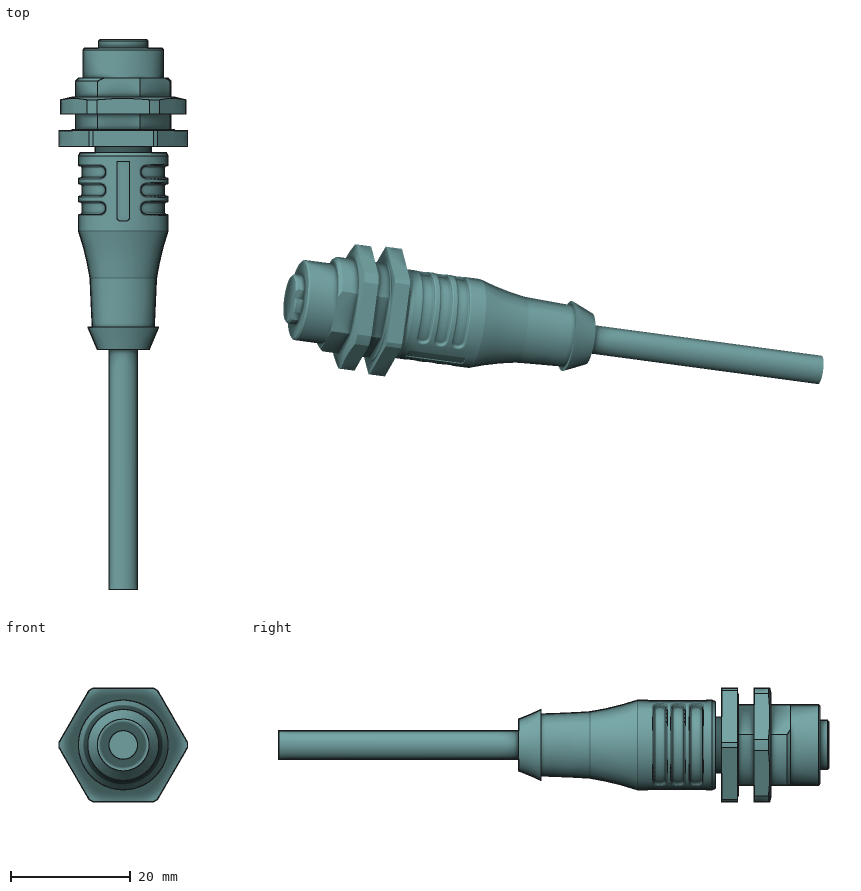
import cadquery as cq
import math

LENGTH = 92.0

INSERT_DIAMETER = 8.3
INSERT_FLAT_DISTANCE = 3.17
KEY_WIDTH = 2.2
EDGE_CHAMFER = 0.3

COLLAR_START = 1.5
COLLAR_DIAMETER = 13.5
BODY_START = 6.4
BODY_DIAMETER = 16.0
BODY_CHAMFER = 0.55
BODY_FLAT_DISTANCE = COLLAR_DIAMETER / 2
BODY_FLAT_ANGLES = (45, 90, 225, 270)
KEY_ANGLE = 225

ACROSS_FLATS = 19.0
LOCK_NUT_START = 9.7
LOCK_NUT_END = 12.5
LOCK_NUT_CORNER_DIAMETER = 21.0
NUT_CONE_HEIGHT = 0.5
NUT_FACE_DIAMETER = 17.1
BODY_NUT_START = 15.3
BODY_NUT_END = 17.9
BODY_NUT_CORNER_DIAMETER = 21.5
WASHER_FACE_HEIGHT = 0.2

NECK_DIAMETER = 9.4
GRIP_START = 18.95
GRIP_END = 32.0
GRIP_DIAMETER = 15.0
GRIP_CHAMFER_LENGTH = 0.55

TAPER_END = 39.9
TAPER_MID_DIAMETER = 12.7
TAPER_DIAMETER = 11.1
FLANGE_START = 48.1
WAIST_DIAMETER = 10.4
FLANGE_DIAMETER = 11.9
FLANGE_END = 51.9
FLANGE_END_DIAMETER = 8.65
CABLE_DIAMETER = 4.8

GROOVE_COUNT = 3
GROOVE_FIRST = 22.2
GROOVE_PITCH = 3.0
GROOVE_WIDTH = 2.0
GROOVE_DEPTH = 0.55
GROOVE_INNER_END = 2.9
GROOVE_EDGE_RADIUS = 0.23
GROOVE_END_RADIUS = 0.9
MARKER_START = 20.4
MARKER_END = 30.4
MARKER_WIDTH = 2.1
MARKER_FLOOR = 7.3
MARKER_CORNER_RADIUS = 0.55


def disc(diameter, start, end):
    """Cylinder on the connector axis between two stations."""
    return cq.Workplane("XZ", origin=(0, -start, 0)).circle(diameter / 2).extrude(end - start)


def hexagon(start, end, corner_diameter):
    """Hexagon with its corners on X, rounded off by a cylinder."""
    across_corners = ACROSS_FLATS / math.cos(math.radians(30))
    prism = cq.Workplane("XZ", origin=(0, -start, 0)).polygon(6, across_corners).extrude(end - start)
    return prism.intersect(disc(corner_diameter, start, end))


def outside_flat(distance, angle, start, end):
    """Block of material lying beyond a flat that faces the given direction."""
    size = BODY_DIAMETER
    block = cq.Workplane("XY").box(size, end - start, 2 * size, centered=(False, False, True))
    return block.translate((distance, -end, 0)).rotate((0, 0, 0), (0, 1, 0), -angle)


def make_insert():
    """Plug tip with one flat, from which a central key stands out."""
    insert = disc(INSERT_DIAMETER, 0, COLLAR_START).faces(">Y").chamfer(EDGE_CHAMFER)
    key = cq.Workplane("XY").box(INSERT_DIAMETER, COLLAR_START, KEY_WIDTH, centered=(False, False, True))
    key = key.translate((0, -COLLAR_START, 0)).rotate((0, 0, 0), (0, 1, 0), -KEY_ANGLE)
    waste = outside_flat(INSERT_FLAT_DISTANCE, KEY_ANGLE, 0, COLLAR_START).cut(key)
    return insert.cut(waste)


def make_body():
    """Flatted mounting body with a round collar running through it."""
    body = disc(BODY_DIAMETER, BODY_START, BODY_NUT_START).faces(">Y").chamfer(BODY_CHAMFER)
    for angle in BODY_FLAT_ANGLES:
        body = body.cut(outside_flat(BODY_FLAT_DISTANCE, angle, BODY_START, BODY_NUT_START))
    collar = disc(COLLAR_DIAMETER, COLLAR_START, BODY_NUT_START).faces(">Y").chamfer(EDGE_CHAMFER)
    return body.union(collar)


def make_lock_nut():
    """Hexagon nut with a shallow cone on its front face."""
    nut = hexagon(LOCK_NUT_START, LOCK_NUT_END, LOCK_NUT_CORNER_DIAMETER)
    face_radius = NUT_FACE_DIAMETER / 2
    corner_radius = LOCK_NUT_CORNER_DIAMETER / 2
    envelope = (
        cq.Workplane("XY")
        .moveTo(0, -LOCK_NUT_START)
        .lineTo(face_radius, -LOCK_NUT_START)
        .lineTo(corner_radius, -LOCK_NUT_START - NUT_CONE_HEIGHT)
        .lineTo(corner_radius, -LOCK_NUT_END)
        .lineTo(0, -LOCK_NUT_END)
        .close()
        .revolve(360, (0, 0, 0), (0, 1, 0))
    )
    return nut.intersect(envelope)


def make_body_nut():
    """Hexagon at the rear of the body with a raised front face."""
    nut = hexagon(BODY_NUT_START, BODY_NUT_END, BODY_NUT_CORNER_DIAMETER)
    front_face = disc(NUT_FACE_DIAMETER, BODY_NUT_START - WASHER_FACE_HEIGHT, BODY_NUT_START)
    return nut.union(front_face)


def make_groove_cutter(station, side):
    """Groove wrapped around one side of the grip, round-ended at top and bottom."""
    reach = GRIP_DIAMETER
    cutter = (
        cq.Workplane("XY", origin=(0, 0, -reach))
        .center(side * (GROOVE_INNER_END + reach / 2), -station)
        .rect(reach, GROOVE_WIDTH)
        .extrude(2 * reach)
    )
    inner_edges = cutter.edges("|Z").edges("<X" if side > 0 else ">X")
    cutter = inner_edges.fillet(GROOVE_END_RADIUS)
    floor_diameter = GRIP_DIAMETER - 2 * GROOVE_DEPTH
    core = disc(floor_diameter, station - GROOVE_WIDTH, station + GROOVE_WIDTH)
    return cutter.cut(core)


def make_marker_cutter(side):
    """Shallow flat-bottomed slot, square at the front and rounded at the rear."""
    length = MARKER_END - MARKER_START
    slot = cq.Workplane("XY").box(MARKER_WIDTH, length, GRIP_DIAMETER, centered=(True, False, False))
    slot = slot.edges("|Z and <Y").fillet(MARKER_CORNER_RADIUS)
    slot = slot.translate((0, -MARKER_END, MARKER_FLOOR))
    return slot if side > 0 else slot.mirror("XY")


def make_grip():
    """Chamfered cylinder with side grooves and top and bottom marker slots."""
    grip = disc(GRIP_DIAMETER, GRIP_START, GRIP_END)
    grip = grip.faces(">Y").chamfer(GRIP_CHAMFER_LENGTH, EDGE_CHAMFER)
    for side in (1, -1):
        for index in range(GROOVE_COUNT):
            station = GROOVE_FIRST + index * GROOVE_PITCH
            grip = grip.cut(make_groove_cutter(station, side))
    groove_region = cq.selectors.BoxSelector(
        (-GRIP_DIAMETER, -MARKER_END, -GRIP_DIAMETER),
        (GRIP_DIAMETER, -MARKER_START, GRIP_DIAMETER),
    )
    grip = grip.edges(groove_region).edges("not |Z").fillet(GROOVE_EDGE_RADIUS)
    for side in (1, -1):
        grip = grip.cut(make_marker_cutter(side))
    return grip


def make_strain_relief():
    """Hollow-curved taper, slightly conical waist and end flange."""
    taper_middle = (TAPER_MID_DIAMETER / 2, -(GRIP_END + TAPER_END) / 2)
    return (
        cq.Workplane("XY")
        .moveTo(0, -GRIP_END)
        .lineTo(GRIP_DIAMETER / 2, -GRIP_END)
        .threePointArc(taper_middle, (TAPER_DIAMETER / 2, -TAPER_END))
        .lineTo(WAIST_DIAMETER / 2, -FLANGE_START)
        .lineTo(FLANGE_DIAMETER / 2, -FLANGE_START)
        .lineTo(FLANGE_END_DIAMETER / 2, -FLANGE_END)
        .lineTo(0, -FLANGE_END)
        .close()
        .revolve(360, (0, 0, 0), (0, 1, 0))
    )


result = (
    make_insert()
    .union(make_body())
    .union(make_lock_nut())
    .union(make_body_nut())
    .union(disc(NECK_DIAMETER, BODY_NUT_END, GRIP_START))
    .union(make_grip())
    .union(make_strain_relief())
    .union(disc(CABLE_DIAMETER, FLANGE_END, LENGTH))
)